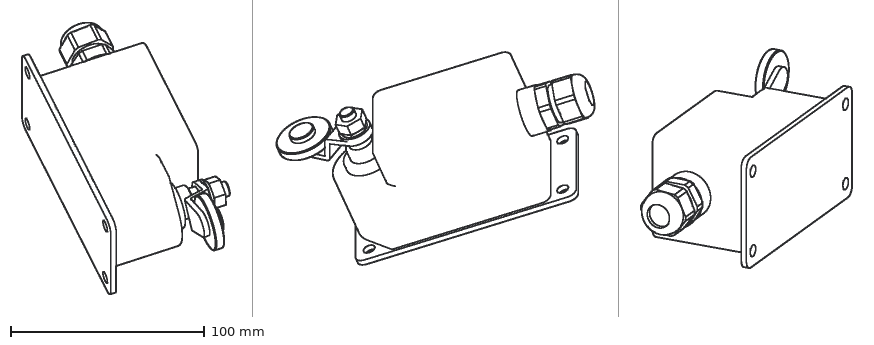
import cadquery as cq
import math


overlap = 1.7
tolerance = 0.02

plate_length = 122.0
plate_height = 61.2
plate_thickness = 3.0
plate_corner_radius = 5.0
hole_spacing_x = 107.0
hole_spacing_z = 44.0
hole_diameter = 6.2

housing_left = -46.9
housing_height = 57.7
tall_top = 62.0
tall_right = 29.6
shoulder_top = 41.0
narrow_start = 40.9
nose_radius = 20.5
housing_corner_radius = 5.0
narrowing_radius = 1.3
rim_radius = 1.5

gland_y = 40.2
gland_tip = -82.4
cap_nut_left = -76.8
neck_left = -66.4
lock_nut_left = -63.2
sleeve_left = -56.8
sleeve_radius = 12.5
neck_radius = 10.1
dome_radius = 11.6
dome_fillet = 4.9
bore_radius = 6.4
bore_depth = 2.5
gland_nut_flats = 23.5
gland_nut_radius = 13.0
cap_nut_turn = 5.5
lock_nut_turn = 1.0

shaft_x = 39.2
flange_radius = 12.6
flange_top = 45.9
collar_radius = 8.5
collar_top = 53.1
spindle_radius = 6.2
washer_radius = 8.5
washer_thickness = 1.5
spring_washer_radius = 7.0
spring_washer_top = 64.0
shaft_nut_corner_radius = 8.0
shaft_nut_top = 70.3
shaft_nut_turn = 6.5
shaft_radius = 4.0
shaft_end = 74.0
disc_edge = 1.3
shaft_edge = 0.5

lever_thickness = 3.0
lever_hub_radius = 8.5
lever_tip_radius = 6.7
lever_high_y = 57.7
lever_low_y = 45.5
crank_start = 12.8
crank_run = 5.5
bend_shift = 1.8
bend_radius = 2.4
roller_x = 70.8
roller_z = 21.7
roller_radius = 15.0
roller_width = 5.0
roller_edge = 0.5
pin_head_thickness = 3.0


def disc_y(x, z, radius, y_from, y_to):
    """Round disc with its axis along Y."""
    disc = cq.Workplane("XZ", origin=(x, y_from, z)).circle(radius)
    return disc.extrude(y_from - y_to)


def disc_x(radius, x_from, x_to):
    """Round disc on the gland axis."""
    return cq.Workplane("YZ", origin=(x_from, gland_y, 0)).circle(radius).extrude(x_to - x_from)


def make_plate():
    plate = cq.Workplane("XZ").rect(plate_length, plate_height).extrude(-plate_thickness)
    plate = plate.edges("|Y").fillet(plate_corner_radius)
    holes = (
        cq.Workplane("XZ")
        .rect(hole_spacing_x, hole_spacing_z, forConstruction=True)
        .vertices()
        .circle(hole_diameter / 2)
        .extrude(-plate_thickness)
    )
    return plate.cut(holes)


def block(x_from, x_to, height, y_top):
    """Rectangular block standing on the outer plane of the plate."""
    corner = cq.Workplane("XY", origin=(x_from, 0, 0))
    return corner.box(x_to - x_from, y_top, height, centered=(False, False, True))


def upright_edges(solid, x):
    """Edges along Y that lie at the given X."""
    return solid.edges("|Y").filter(lambda edge: abs(edge.Center().x - x) < tolerance)


def make_shoulder():
    """Lower part of the housing; its sides run in as tangents to a nose around the shaft."""
    half_height = housing_height / 2
    corner_x = narrow_start - shaft_x
    corner_distance = math.hypot(corner_x, half_height)
    tangent_angle = math.atan2(half_height, corner_x) - math.acos(nose_radius / corner_distance)
    tangent_x = shaft_x + nose_radius * math.cos(tangent_angle)
    tangent_z = nose_radius * math.sin(tangent_angle)
    return (
        cq.Workplane("XZ")
        .moveTo(housing_left, half_height)
        .lineTo(narrow_start, half_height)
        .lineTo(tangent_x, tangent_z)
        .threePointArc((shaft_x + nose_radius, 0), (tangent_x, -tangent_z))
        .lineTo(narrow_start, -half_height)
        .lineTo(housing_left, -half_height)
        .close()
        .extrude(-shoulder_top)
    )


def make_housing():
    tall = block(housing_left, tall_right, housing_height, tall_top)
    tall = tall.edges("|Y").fillet(housing_corner_radius)
    tall = tall.faces(">Y").edges().fillet(rim_radius)

    low = make_shoulder()
    low = upright_edges(low, housing_left).fillet(housing_corner_radius)
    low = upright_edges(low, narrow_start).fillet(narrowing_radius)
    low = low.faces(">Y").edges().fillet(rim_radius)

    return tall.union(low).cut(block(-plate_length, plate_length, plate_length, plate_thickness))


def gland_nut(x_from, x_to, turn):
    """Hexagon with its corners turned down to a cylinder."""
    corner_diameter = gland_nut_flats / math.cos(math.radians(30))
    hexagon = (
        cq.Workplane("YZ", origin=(x_from, gland_y, 0))
        .transformed(rotate=(0, 0, turn))
        .polygon(6, corner_diameter)
        .extrude(x_to - x_from)
    )
    return hexagon.intersect(disc_x(gland_nut_radius, x_from, x_to))


def make_gland():
    dome = disc_x(dome_radius, gland_tip, neck_left).faces("<X").edges().fillet(dome_fillet)
    gland = dome.union(gland_nut(cap_nut_left, neck_left, cap_nut_turn))
    gland = gland.union(disc_x(neck_radius, neck_left, lock_nut_left))
    gland = gland.union(gland_nut(lock_nut_left, sleeve_left, lock_nut_turn))
    gland = gland.union(disc_x(sleeve_radius, sleeve_left, housing_left + overlap))
    return gland.cut(disc_x(bore_radius, gland_tip, gland_tip + bore_depth))


def make_shaft():
    washer_bottom = lever_high_y + lever_thickness
    washer_top = washer_bottom + washer_thickness
    flange = disc_y(shaft_x, 0, flange_radius, shoulder_top - overlap, flange_top)
    collar = disc_y(shaft_x, 0, collar_radius, flange_top, collar_top)
    end = disc_y(shaft_x, 0, shaft_radius, shaft_nut_top, shaft_end)
    nut = (
        cq.Workplane("XZ", origin=(shaft_x, spring_washer_top, 0))
        .transformed(rotate=(0, 0, 90 + shaft_nut_turn))
        .polygon(6, 2 * shaft_nut_corner_radius)
        .extrude(spring_washer_top - shaft_nut_top)
    )
    shaft = flange.faces(">Y").edges().fillet(disc_edge)
    shaft = shaft.union(collar.faces(">Y").edges().fillet(disc_edge))
    shaft = shaft.union(disc_y(shaft_x, 0, spindle_radius, collar_top, washer_bottom))
    shaft = shaft.union(disc_y(shaft_x, 0, washer_radius, washer_bottom, washer_top))
    shaft = shaft.union(disc_y(shaft_x, 0, spring_washer_radius, washer_top, spring_washer_top))
    shaft = shaft.union(nut)
    return shaft.union(end.faces(">Y").edges().chamfer(shaft_edge))


def make_lever():
    """Cranked strip, drawn along X from the shaft axis, then turned towards the roller."""
    reach = math.hypot(roller_x - shaft_x, roller_z)
    lean = math.degrees(math.atan2(roller_z, roller_x - shaft_x))
    crank_end = crank_start + crank_run
    taper_start = crank_end + bend_shift

    taper_run = reach - taper_start
    taper = math.acos(lever_tip_radius / math.hypot(taper_run, lever_hub_radius))
    taper -= math.atan2(taper_run, lever_hub_radius)
    tangent_x = reach + lever_tip_radius * math.sin(taper)
    tangent_z = lever_tip_radius * math.cos(taper)
    outline = (
        cq.Workplane("XZ")
        .moveTo(0, lever_hub_radius)
        .lineTo(taper_start, lever_hub_radius)
        .lineTo(tangent_x, tangent_z)
        .threePointArc((reach + lever_tip_radius, 0), (tangent_x, -tangent_z))
        .lineTo(taper_start, -lever_hub_radius)
        .lineTo(0, -lever_hub_radius)
        .threePointArc((-lever_hub_radius, 0), (0, lever_hub_radius))
        .close()
        .extrude(-shaft_end)
    )
    back = -lever_hub_radius
    front = reach + lever_tip_radius
    crank = (
        cq.Workplane("XY")
        .polyline(
            [
                (back, lever_high_y),
                (crank_start, lever_high_y),
                (crank_end, lever_low_y),
                (front, lever_low_y),
                (front, lever_low_y + lever_thickness),
                (taper_start, lever_low_y + lever_thickness),
                (crank_start + bend_shift, lever_high_y + lever_thickness),
                (back, lever_high_y + lever_thickness),
            ]
        )
        .close()
        .extrude(lever_hub_radius, both=True)
    )
    upper_bend = (crank_start + bend_shift, lever_high_y + lever_thickness, 0)
    lower_bend = (crank_end, lever_low_y, 0)
    for bend in (upper_bend, lower_bend):
        crank = crank.edges(cq.selectors.NearestToPointSelector(bend)).fillet(bend_radius)
    lever = outline.intersect(crank)
    return lever.rotate((0, 0, 0), (0, 1, 0), -lean).translate((shaft_x, 0, 0))


def make_roller():
    roller_bottom = lever_low_y + lever_thickness
    roller_top = roller_bottom + roller_width
    roller = disc_y(roller_x, roller_z, roller_radius, roller_bottom, roller_top)
    roller = roller.edges().chamfer(roller_edge)
    head = disc_y(roller_x, roller_z, lever_tip_radius, roller_top, roller_top + pin_head_thickness)
    return roller.union(head.faces(">Y").edges().chamfer(roller_edge))


result = (
    make_plate()
    .union(make_housing())
    .union(make_gland())
    .union(make_shaft())
    .union(make_lever())
    .union(make_roller())
)